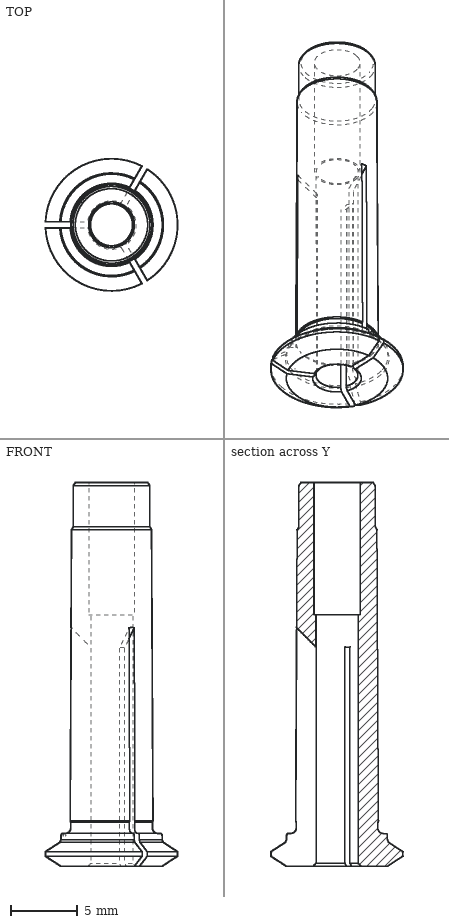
import cadquery as cq
import math

TOTAL_LENGTH = 29.0
SHOULDER_HEIGHT = 25.4

SPIGOT_RADIUS = 5.8 / 2
SPIGOT_CHAMFER_WIDTH = 0.17
SPIGOT_CHAMFER_HEIGHT = 0.25
SHOULDER_BEVEL_HEIGHT = 0.25

BODY_TOP_RADIUS = 3.03
BODY_BOTTOM_RADIUS = 3.14
BODY_BOTTOM_HEIGHT = 3.45

NECK_RADIUS = 3.1
NECK_TOP_HEIGHT = 3.33
NECK_FILLET = 0.38

COLLAR_RADIUS = 3.83
COLLAR_TOP_HEIGHT = 2.5
COLLAR_ROUND = 0.18
COLLAR_BASE_HEIGHT = 2.0

FLANGE_RADIUS = 5.0
FLANGE_CONE_TOP_RADIUS = 3.92
FLANGE_CONE_TOP_HEIGHT = 1.81
RIM_TOP_HEIGHT = 1.16
RIM_BOTTOM_HEIGHT = 0.78
RIM_EDGE_BREAK = 0.07
NOSE_RADIUS = 3.83

GRIP_RADIUS = 3.17 / 2
CLEARANCE_RADIUS = 3.46 / 2
GRIP_TOP_HEIGHT = 19.0
BORE_CHAMFER = 0.25

SLOT_COUNT = 3
SLOT_WIDTH = 0.45
SLOT_TOP_HEIGHT = 18.0
SLOT_BORE_TOP_HEIGHT = 16.55
FIRST_SLOT_ANGLE = 180.0


def make_body():
    """Revolve the outer profile of the collet about Z."""
    fillet_offset = NECK_FILLET * (1 - math.sqrt(0.5))
    round_offset = COLLAR_ROUND * (1 - math.sqrt(0.5))
    profile = (
        cq.Workplane("XZ")
        .moveTo(0, 0)
        .lineTo(NOSE_RADIUS, 0)
        .lineTo(FLANGE_RADIUS - RIM_EDGE_BREAK, RIM_BOTTOM_HEIGHT - RIM_EDGE_BREAK)
        .lineTo(FLANGE_RADIUS, RIM_BOTTOM_HEIGHT)
        .lineTo(FLANGE_RADIUS, RIM_TOP_HEIGHT - RIM_EDGE_BREAK)
        .lineTo(FLANGE_RADIUS - RIM_EDGE_BREAK, RIM_TOP_HEIGHT)
        .lineTo(FLANGE_CONE_TOP_RADIUS, FLANGE_CONE_TOP_HEIGHT)
        .lineTo(COLLAR_RADIUS, COLLAR_BASE_HEIGHT)
        .lineTo(COLLAR_RADIUS, COLLAR_TOP_HEIGHT - COLLAR_ROUND)
        .threePointArc(
            (COLLAR_RADIUS - round_offset, COLLAR_TOP_HEIGHT - round_offset),
            (COLLAR_RADIUS - COLLAR_ROUND, COLLAR_TOP_HEIGHT),
        )
        .lineTo(NECK_RADIUS + NECK_FILLET, COLLAR_TOP_HEIGHT)
        .threePointArc(
            (NECK_RADIUS + fillet_offset, COLLAR_TOP_HEIGHT + fillet_offset),
            (NECK_RADIUS, COLLAR_TOP_HEIGHT + NECK_FILLET),
        )
        .lineTo(NECK_RADIUS, NECK_TOP_HEIGHT)
        .lineTo(BODY_BOTTOM_RADIUS, BODY_BOTTOM_HEIGHT)
        .lineTo(BODY_TOP_RADIUS, SHOULDER_HEIGHT)
        .lineTo(SPIGOT_RADIUS, SHOULDER_HEIGHT + SHOULDER_BEVEL_HEIGHT)
        .lineTo(SPIGOT_RADIUS, TOTAL_LENGTH - SPIGOT_CHAMFER_HEIGHT)
        .lineTo(SPIGOT_RADIUS - SPIGOT_CHAMFER_WIDTH, TOTAL_LENGTH)
        .lineTo(0, TOTAL_LENGTH)
        .close()
    )
    return profile.revolve(360, (0, 0), (0, 1))


def make_bore():
    """Revolve the stepped bore, chamfered at the nose."""
    profile = (
        cq.Workplane("XZ")
        .moveTo(0, 0)
        .lineTo(GRIP_RADIUS + BORE_CHAMFER, 0)
        .lineTo(GRIP_RADIUS, BORE_CHAMFER)
        .lineTo(GRIP_RADIUS, GRIP_TOP_HEIGHT)
        .lineTo(CLEARANCE_RADIUS, GRIP_TOP_HEIGHT)
        .lineTo(CLEARANCE_RADIUS, TOTAL_LENGTH)
        .lineTo(0, TOTAL_LENGTH)
        .close()
    )
    return profile.revolve(360, (0, 0), (0, 1))


def make_slot(angle):
    """Build one radial slot whose upper end slopes down from the body to the bore."""
    slope = (SLOT_TOP_HEIGHT - SLOT_BORE_TOP_HEIGHT) / (BODY_TOP_RADIUS - GRIP_RADIUS)
    axis_height = SLOT_BORE_TOP_HEIGHT - slope * GRIP_RADIUS
    rim_height = axis_height + slope * FLANGE_RADIUS
    slot = (
        cq.Workplane("XZ")
        .moveTo(0, 0)
        .lineTo(FLANGE_RADIUS, 0)
        .lineTo(FLANGE_RADIUS, rim_height)
        .lineTo(0, axis_height)
        .close()
        .extrude(SLOT_WIDTH / 2, both=True)
    )
    return slot.rotate((0, 0, 0), (0, 0, 1), angle)


result = make_body().cut(make_bore())
for index in range(SLOT_COUNT):
    result = result.cut(make_slot(FIRST_SLOT_ANGLE + index * 360 / SLOT_COUNT))